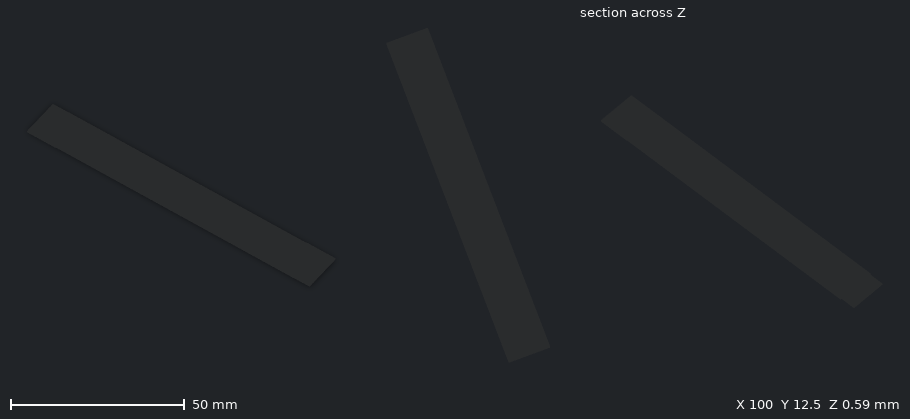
import cadquery as cq

length = 100.0
width = 12.5
pitch = 0.5
conductor_width = 0.3
contact_length = 5.0
stiffener_length = 10.0

total_thickness = 0.59
film_thickness = 0.045
conductor_thickness = 0.05
stiffener_thickness = (total_thickness - conductor_thickness) / 2 - film_thickness

conductor_count = round(width / pitch) - 1

lower_film_z = stiffener_thickness
conductor_z = lower_film_z + film_thickness
upper_film_z = conductor_z + conductor_thickness
upper_stiffener_z = upper_film_z + film_thickness


def layer(x_start, x_end, z_bottom, thickness, y_center=0.0, layer_width=width):
    """Flat strip between two X positions, resting on z_bottom."""
    return (
        cq.Workplane("XY")
        .box(x_end - x_start, layer_width, thickness, centered=(False, True, False))
        .translate((x_start, y_center, z_bottom))
    )


lower_film = layer(0, length - contact_length, lower_film_z, film_thickness)
upper_film = layer(contact_length, length, upper_film_z, film_thickness)

lower_stiffener = layer(0, stiffener_length, 0, stiffener_thickness)
upper_stiffener = layer(length - stiffener_length, length, upper_stiffener_z, stiffener_thickness)

conductors = []
for index in range(conductor_count):
    y_center = (index - (conductor_count - 1) / 2) * pitch
    conductors.append(layer(0, length, conductor_z, conductor_thickness, y_center, conductor_width))

result = lower_film.union(lower_stiffener)
for conductor in conductors:
    result = result.union(conductor)
result = result.union(upper_film).union(upper_stiffener)